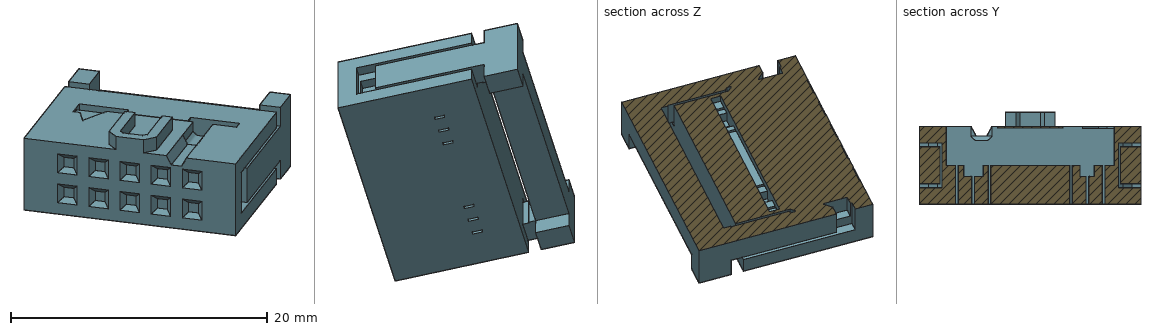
import cadquery as cq
import math


WIDTH = 17.3
TOTAL_DEPTH = 14.5
TOTAL_HEIGHT = 7.2
BODY_DEPTH = 10.8
BODY_HEIGHT = 6.09
MID_HEIGHT = BODY_HEIGHT / 2
SIDE = WIDTH / 2

PITCH = 2.55
COLUMNS = 5
ROWS = 2
OPENING = 1.6
TAPER = 0.4

KEY_HALF_WIDTH = 1.94
KEY_LENGTH = 4.98
KEY_WALL = 0.83
KEY_OUTER_CHAMFER = 0.81
KEY_INNER_CHAMFER = 0.31

WINDOW_FRONT = 7.02
WINDOW_BACK = 7.82
WINDOW_INNER = 2.55
WINDOW_OUTER = 6.54
CHANNEL_FLOOR = MID_HEIGHT
SEAM_WIDTH = 0.07
BRIDGE_THICKNESS = 0.14
SLIT_PITCH = PITCH / 2
SLIT_OFFSETS = (2.5, 3.5, 4.5)
SLIT_WIDTH = 0.19
WELL_DEPTH = 0.86
WELL_SPANS = ((-4.98, -3.9), (3.68, 5.17))

MARK_DEPTH = 0.17
MARK_STEP_Y = 6.21
MARK_STEP_X = -5.97
MARK_TIP = (-5.31, 4.77)
MARK_RIGHT = -4.07

GROOVE_CENTRE = 3.8
GROOVE_HALF_WIDTH = 0.81
GROOVE_FLOOR_HALF_WIDTH = 0.42
GROOVE_DEPTH = 0.75
TROUGH_START = 4.3
TROUGH_FLOOR_START = 4.52
TROUGH_WALL = 0.8
TROUGH_CHAMFER = 0.22
TROUGH_RADIUS = 0.3
TROUGH_ARC_WIDTH = TROUGH_RADIUS * math.sin(math.radians(45))
TROUGH_ARC_HEIGHT = TROUGH_RADIUS - TROUGH_ARC_WIDTH
TROUGH_DEPTH = TROUGH_WALL + TROUGH_CHAMFER + TROUGH_ARC_HEIGHT

SLOT_HEIGHT = 3.46
SLOT_FRONT = 1.49
SLOT_FRONT_DEPTH = 0.73
FRONT_RAMP_START = 2.92
FRONT_RAMP_END = 3.62
SLOT_MID_DEPTH = SLOT_FRONT_DEPTH + FRONT_RAMP_END - FRONT_RAMP_START
REAR_RAMP_START = 5.9
REAR_RAMP_END = 6.25
SLOT_REAR_DEPTH = SLOT_MID_DEPTH + REAR_RAMP_END - REAR_RAMP_START
POCKET_FRONT = 1.63
POCKET_HEIGHT = 1.7

CLIP_FRONT = 11.8
CLIP_END_WIDTH = 1.7
ARM_HEIGHT = 2.9
ARM_TIP = 3.03
ARM_TIP_THICKNESS = SLOT_FRONT_DEPTH + ARM_TIP - FRONT_RAMP_START
ARM_ROOT_THICKNESS = 1.63
ARM_ROOT = 11.25


def box(x_range, y_range, z_range):
    """Box given by its lower and upper limits along each axis."""
    lows, highs = zip(x_range, y_range, z_range)
    sizes = [high - low for low, high in zip(lows, highs)]
    return cq.Workplane("XY").box(*sizes, centered=False).translate(lows)


def prism(points, bottom, top):
    """Upright prism on an XY outline."""
    return cq.Workplane("XY").workplane(offset=bottom).polyline(points).close().extrude(top - bottom)


def centred_heights(height):
    """Z limits of a feature centred on the housing's mid height."""
    return MID_HEIGHT - height / 2, MID_HEIGHT + height / 2


def both_sides(left):
    """The left-hand solid together with its mirror image on the right."""
    return left.union(left.mirror("YZ"))


def contact_openings():
    """Square pyramidal lead-ins sunk 45 degrees into the mating face."""
    floor = OPENING - 2 * TAPER
    lead_in = cq.Workplane("XZ").rect(OPENING, OPENING).workplane(offset=-TAPER).rect(floor, floor).loft()
    openings = cq.Workplane("XZ")
    for column in range(COLUMNS):
        x = (column - (COLUMNS - 1) / 2) * PITCH
        for row in range(ROWS):
            z = MID_HEIGHT + (row - (ROWS - 1) / 2) * PITCH
            openings = openings.add(lead_in.translate((x, 0, z)))
    return openings.combine()


def key():
    """U-shaped key standing on the top face, its closed end at the mating face."""
    inner = KEY_HALF_WIDTH - KEY_WALL
    right = [
        (KEY_HALF_WIDTH - KEY_OUTER_CHAMFER, 0),
        (KEY_HALF_WIDTH, KEY_OUTER_CHAMFER),
        (KEY_HALF_WIDTH, KEY_LENGTH),
        (inner, KEY_LENGTH),
        (inner, KEY_WALL + KEY_INNER_CHAMFER),
        (inner - KEY_INNER_CHAMFER, KEY_WALL),
    ]
    left = [(-x, y) for x, y in reversed(right)]
    return prism(right + left, BODY_HEIGHT, TOTAL_HEIGHT)


def cable_channel():
    """Cable channel with a thin bridge left between its two windows, wells and slits in its floor."""
    window_y = (WINDOW_FRONT, WINDOW_BACK)
    channel_z = (CHANNEL_FLOOR, BODY_HEIGHT)
    bridge_y = (WINDOW_FRONT + SEAM_WIDTH, WINDOW_BACK)
    bridge_z = (BODY_HEIGHT - BRIDGE_THICKNESS, BODY_HEIGHT)
    cut = box((-WINDOW_OUTER, WINDOW_OUTER), window_y, channel_z)
    cut = cut.cut(box((-WINDOW_INNER, WINDOW_INNER), bridge_y, bridge_z))
    for span in WELL_SPANS:
        cut = cut.union(box(span, window_y, (CHANNEL_FLOOR - WELL_DEPTH, BODY_HEIGHT)))
    for offset in SLIT_OFFSETS:
        x = -offset * SLIT_PITCH
        slit = box((x - SLIT_WIDTH / 2, x + SLIT_WIDTH / 2), window_y, (0, BODY_HEIGHT))
        cut = cut.union(both_sides(slit))
    return cut


def pin_one_mark():
    """Shallow arrow-shaped recess in front of the left-hand window."""
    outline = [
        (-WINDOW_OUTER, WINDOW_FRONT),
        (-WINDOW_OUTER, MARK_STEP_Y),
        (MARK_STEP_X, MARK_STEP_Y),
        MARK_TIP,
        (MARK_RIGHT, WINDOW_FRONT),
    ]
    return prism(outline, BODY_HEIGHT - MARK_DEPTH, BODY_HEIGHT)


def front_groove():
    """Trapezoidal front stretch of the top groove."""
    floor = BODY_HEIGHT - GROOVE_DEPTH
    outline = [
        (GROOVE_CENTRE - GROOVE_HALF_WIDTH, BODY_HEIGHT),
        (GROOVE_CENTRE - GROOVE_FLOOR_HALF_WIDTH, floor),
        (GROOVE_CENTRE + GROOVE_FLOOR_HALF_WIDTH, floor),
        (GROOVE_CENTRE + GROOVE_HALF_WIDTH, BODY_HEIGHT),
    ]
    return cq.Workplane("XZ").polyline(outline).close().extrude(-WINDOW_FRONT)


def trough():
    """Deeper rear stretch: upright walls, chamfered shoulders and a floor rounded into them."""
    wall_foot = BODY_HEIGHT - TROUGH_WALL
    shoulder = wall_foot - TROUGH_CHAMFER
    floor = BODY_HEIGHT - TROUGH_DEPTH
    inner = GROOVE_HALF_WIDTH - TROUGH_CHAMFER
    section = (
        cq.Workplane("XZ", origin=(GROOVE_CENTRE, TROUGH_START, 0))
        .moveTo(-GROOVE_HALF_WIDTH, BODY_HEIGHT)
        .lineTo(-GROOVE_HALF_WIDTH, wall_foot)
        .lineTo(-inner, shoulder)
        .radiusArc((TROUGH_ARC_WIDTH - inner, floor), -TROUGH_RADIUS)
        .lineTo(inner - TROUGH_ARC_WIDTH, floor)
        .radiusArc((inner, shoulder), -TROUGH_RADIUS)
        .lineTo(GROOVE_HALF_WIDTH, wall_foot)
        .lineTo(GROOVE_HALF_WIDTH, BODY_HEIGHT)
        .close()
        .extrude(TROUGH_START - WINDOW_FRONT)
    )
    front_slope = (
        cq.Workplane("YZ")
        .polyline([
            (TROUGH_START, BODY_HEIGHT - GROOVE_DEPTH),
            (TROUGH_FLOOR_START, floor),
            (TROUGH_START, floor),
        ])
        .close()
        .extrude(SIDE)
    )
    return section.cut(front_slope)


def side_slot():
    """Left-hand slot, deepening rearwards in two 45-degree ramps, with a pocket in its front floor."""
    outline = [
        (-SIDE, SLOT_FRONT),
        (SLOT_FRONT_DEPTH - SIDE, SLOT_FRONT),
        (SLOT_FRONT_DEPTH - SIDE, FRONT_RAMP_START),
        (SLOT_MID_DEPTH - SIDE, FRONT_RAMP_END),
        (SLOT_MID_DEPTH - SIDE, REAR_RAMP_START),
        (SLOT_REAR_DEPTH - SIDE, REAR_RAMP_END),
        (SLOT_REAR_DEPTH - SIDE, BODY_DEPTH),
        (-SIDE, BODY_DEPTH),
    ]
    slot = prism(outline, *centred_heights(SLOT_HEIGHT))
    pocket_x = (-SIDE, SLOT_MID_DEPTH - SIDE)
    return slot.union(box(pocket_x, (POCKET_FRONT, FRONT_RAMP_END), centred_heights(POCKET_HEIGHT)))


def clip_arm():
    """Left-hand arm, thinned towards its tip and resting on the slot's front ramp and middle floor."""
    root_ramp_end = REAR_RAMP_END + ARM_ROOT_THICKNESS - SLOT_MID_DEPTH
    outline = [
        (-SIDE, ARM_TIP),
        (ARM_TIP_THICKNESS - SIDE, ARM_TIP),
        (SLOT_MID_DEPTH - SIDE, FRONT_RAMP_END),
        (SLOT_MID_DEPTH - SIDE, REAR_RAMP_END),
        (ARM_ROOT_THICKNESS - SIDE, root_ramp_end),
        (ARM_ROOT_THICKNESS - SIDE, ARM_ROOT),
        (CLIP_END_WIDTH - SIDE, ARM_ROOT),
        (CLIP_END_WIDTH - SIDE, CLIP_FRONT),
        (-SIDE, CLIP_FRONT),
    ]
    return prism(outline, *centred_heights(ARM_HEIGHT))


def clip():
    """Strain-relief clip: cross bar, two full-height end blocks and two arms."""
    clip_y = (CLIP_FRONT, TOTAL_DEPTH)
    bar = box((-SIDE, SIDE), clip_y, centred_heights(ARM_HEIGHT))
    end_block = box((-SIDE, CLIP_END_WIDTH - SIDE), clip_y, (0, BODY_HEIGHT))
    return bar.union(both_sides(end_block)).union(both_sides(clip_arm()))


housing = box((-SIDE, SIDE), (0, BODY_DEPTH), (0, BODY_HEIGHT)).union(key())
for recess in (
    contact_openings(),
    cable_channel(),
    pin_one_mark(),
    front_groove(),
    trough(),
    both_sides(side_slot()),
):
    housing = housing.cut(recess)

result = housing.union(clip())